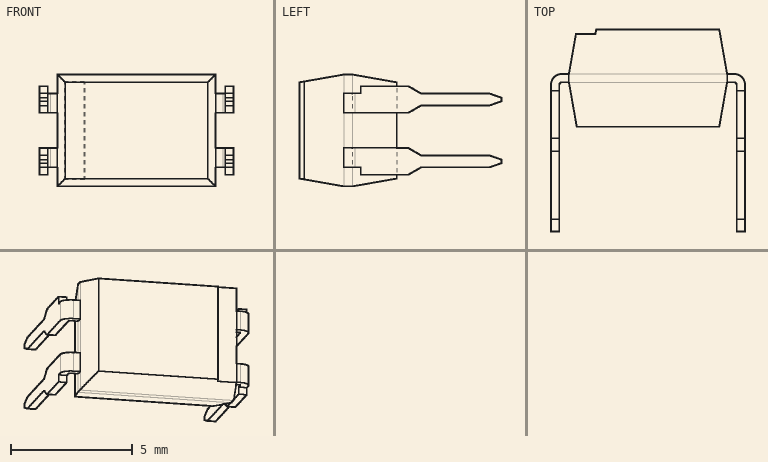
import cadquery as cq
import math


housing_length = 6.5
housing_width = 4.6
housing_height = 4.0
draft_angle = 10.0
step_depth = 0.19
step_wall_x = -2.13

lead_thickness = 0.35
row_pitch = 7.62
lead_pitch = 2.54
lead_drop = 6.475
bend_inner_radius = 0.1
shoulder_width = 1.1
neck_width = 0.8
blade_width = 0.5
tip_width = 0.15
shoulder_start = 0.7
shoulder_end = 2.65
blade_start = 3.17
tip_start = 5.975

half_band = lead_thickness / 2
drafted_height = (housing_height - lead_thickness) / 2
housing_top = half_band + drafted_height
draft_slope = math.tan(math.radians(draft_angle))
bend_outer_radius = bend_inner_radius + lead_thickness
lead_outer_x = (row_pitch + lead_thickness) / 2
lead_inner_x = lead_outer_x - lead_thickness
lead_top = half_band
lead_tip = lead_top - lead_drop


def extrude_along_y(start, distance, taper=0):
    """Housing-sized block from Y = start; a negative distance runs towards -Y."""
    direction = math.copysign(1, distance)
    plane = cq.Plane(origin=(0, start, 0), xDir=(1, 0, 0), normal=(0, direction, 0))
    return (
        cq.Workplane(plane)
        .rect(housing_length, housing_width)
        .extrude(abs(distance), taper=taper)
    )


def make_housing():
    """Straight band with a drafted half on each side and a step along the top edge."""
    band = extrude_along_y(-half_band, lead_thickness)
    upper_half = extrude_along_y(half_band, drafted_height, draft_angle)
    lower_half = extrude_along_y(-half_band, -drafted_height, draft_angle)

    step_floor = housing_top - step_depth
    step_cut = (
        cq.Workplane("XY")
        .moveTo(-housing_length / 2, housing_top)
        .lineTo(step_wall_x, housing_top)
        .lineTo(step_wall_x - step_depth * draft_slope, step_floor)
        .lineTo(-housing_length / 2, step_floor)
        .close()
        .extrude(housing_width / 2, both=True)
    )
    return band.union(upper_half).union(lower_half).cut(step_cut)


def make_lead():
    """Lead at +X, +Z: the bent strip trimmed to the outline of its flat side."""
    bend_depth = lead_top - bend_outer_radius
    bend_x = lead_outer_x - bend_outer_radius
    strip = (
        cq.Workplane("XY")
        .moveTo(housing_length / 2, lead_top)
        .lineTo(bend_x, lead_top)
        .radiusArc((lead_outer_x, bend_depth), bend_outer_radius)
        .lineTo(lead_outer_x, lead_tip)
        .lineTo(lead_inner_x, lead_tip)
        .lineTo(lead_inner_x, bend_depth)
        .radiusArc((bend_x, lead_top - lead_thickness), -bend_inner_radius)
        .lineTo(housing_length / 2, lead_top - lead_thickness)
        .close()
        .extrude(housing_width / 2)
    )

    lead_z = lead_pitch / 2
    inner_z = lead_z - shoulder_width / 2
    outer_z = lead_z + shoulder_width / 2
    neck_z = inner_z + neck_width
    outline = (
        cq.Workplane("YZ")
        .polyline([
            (lead_top, inner_z),
            (lead_top - shoulder_end, inner_z),
            (lead_top - blade_start, lead_z - blade_width / 2),
            (lead_top - tip_start, lead_z - blade_width / 2),
            (lead_tip, lead_z - tip_width / 2),
            (lead_tip, lead_z + tip_width / 2),
            (lead_top - tip_start, lead_z + blade_width / 2),
            (lead_top - blade_start, lead_z + blade_width / 2),
            (lead_top - shoulder_end, outer_z),
            (lead_top - shoulder_start, outer_z),
            (lead_top - shoulder_start, neck_z),
            (lead_top, neck_z),
        ])
        .close()
        .extrude(lead_outer_x)
    )
    return strip.intersect(outline)


housing = make_housing()

lead = make_lead()
leads = []
for row_lead in (lead, lead.mirror("XY")):
    for placed_lead in (row_lead, row_lead.mirror("YZ")):
        leads.append(placed_lead.solids().val())

result = cq.Compound.makeCompound([housing.solids().val(), *leads])